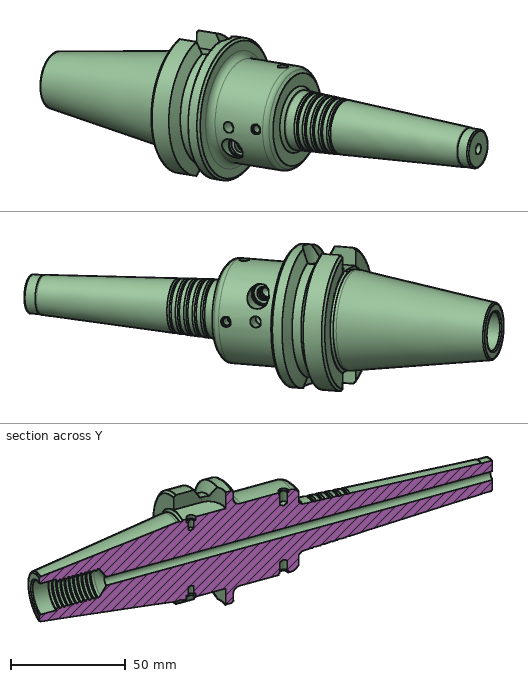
import cadquery as cq
import math

total_length = 215.5
taper_end = 65.3
neck_end = 67.5
flange_end = 92.5
body_end = 123.5
stem_start = 125.4
first_groove = 129.7
last_groove = 145.6
stem_end = 209.4
nose_start = 210.0

gauge_radius = 22.2
taper_slope = 7 / 48
taper_small_radius = gauge_radius - taper_end * taper_slope
taper_end_chamfer = 0.6

flange_radius = 31.5
flange_chamfer = 1.0
relief_start = 66.5
relief_end = 68.0
relief_end_height = 0.5
relief_height = 1.3
groove_floor_radius = 26.5
groove_floor_start = 80.0
groove_floor_end = 84.0
groove_wall_angle = 30.0
groove_flare = (flange_radius - groove_floor_radius) * math.tan(math.radians(groove_wall_angle))

body_radius = 46.0 / 2
body_root_fillet = 3.0
body_shoulder = 119.5
body_bevel_start = 122.1
body_bevel_radius = 22.0
body_end_radius = 20.5

nose_radius = 8.6
stem_end_radius = 8.8
nose_chamfer = 0.6
stem_half_angle = 3.0
stem_slope = math.tan(math.radians(stem_half_angle))
stem_root_bevel = 1.5
stem_groove_count = 5
stem_groove_pitch = (last_groove - first_groove) / (stem_groove_count - 1)
stem_groove_width = 2.0
stem_groove_depth = 0.32

mouth_radius = 18.3 / 2
pilot_radius = 17.0 / 2
pilot_depth = 8.0
thread_crest_radius = 14.0 / 2
thread_root_radius = 16.0 / 2
thread_pitch = 2.0
thread_turns = 11
coolant_radius = 4.5 / 2
drill_tip_angle = 118.0

slot_width = 16.2
slot_end = 88.5
slot_floor_height = 22.5

slot_hole_x = 72.2
slot_hole_diameter = 4.0
slot_hole_floor = 20.5
slot_hole_tip_diameter = 2.4
slot_hole_tip_floor = 16.2

balance_hole_x = 116.0
balance_hole_diameter = 4.5
balance_hole_floor = 22.0
balance_hole_tip_diameter = 3.5
balance_hole_tip_floor = 16.2

screw_hole_x = 102.3
small_hole_offset = 1.0
small_hole_diameter = 5.0
small_hole_floor = 16.2

large_hole_offset = 11.6
large_hole_steps = ((10.0, 14.6), (9.0, 13.0), (6.0, 10.8))
large_hole_tip_diameter = 4.5
large_hole_tip_floor = 8.6


def stem_radius(x):
    return stem_end_radius + (stem_end - x) * stem_slope


def revolved(profile):
    return profile.close().revolve(360, (0, 0, 0), (1, 0, 0))


def arc_point(center_x, center_r, radius, degrees):
    """Point on a profile arc, at an angle measured from +X toward +r."""
    angle = math.radians(degrees)
    return (center_x + radius * math.cos(angle), center_r + radius * math.sin(angle))


def outer_body():
    root_arc_x = flange_end + body_root_fillet
    bevel_arc_drop = body_radius - body_bevel_radius
    bevel_arc_run = body_bevel_start - body_shoulder
    bevel_arc_radius = (bevel_arc_run**2 + bevel_arc_drop**2) / (2 * bevel_arc_drop)
    bevel_arc_span = math.degrees(math.asin(bevel_arc_run / bevel_arc_radius))
    stem_root_radius = stem_radius(stem_start)
    profile = (
        cq.Workplane("XY")
        .moveTo(0, 0)
        .lineTo(0, taper_small_radius - taper_end_chamfer)
        .lineTo(taper_end_chamfer, taper_small_radius)
        .lineTo(taper_end, gauge_radius)
        .lineTo(relief_start, gauge_radius)
        .threePointArc(
            (relief_end, gauge_radius + relief_end_height),
            (neck_end, gauge_radius + relief_height),
        )
        .lineTo(neck_end, flange_radius - flange_chamfer)
        .lineTo(neck_end + flange_chamfer, flange_radius)
        .lineTo(groove_floor_start - groove_flare, flange_radius)
        .lineTo(groove_floor_start, groove_floor_radius)
        .lineTo(groove_floor_end, groove_floor_radius)
        .lineTo(groove_floor_end + groove_flare, flange_radius)
        .lineTo(flange_end - flange_chamfer, flange_radius)
        .lineTo(flange_end, flange_radius - flange_chamfer)
        .lineTo(flange_end, body_radius + body_root_fillet)
        .threePointArc(
            arc_point(root_arc_x, body_radius + body_root_fillet, body_root_fillet, -135),
            (root_arc_x, body_radius),
        )
        .lineTo(body_shoulder, body_radius)
        .threePointArc(
            arc_point(
                body_shoulder,
                body_radius - bevel_arc_radius,
                bevel_arc_radius,
                90 - bevel_arc_span / 2,
            ),
            (body_bevel_start, body_bevel_radius),
        )
        .lineTo(body_end, body_end_radius)
        .lineTo(body_end, stem_root_radius + stem_root_bevel)
        .lineTo(body_end + stem_root_bevel, stem_root_radius)
        .lineTo(stem_start, stem_root_radius)
    )
    for index in range(stem_groove_count):
        start = first_groove + index * stem_groove_pitch
        middle = start + stem_groove_width / 2
        end = start + stem_groove_width
        profile = (
            profile.lineTo(start, stem_radius(start))
            .lineTo(middle, stem_radius(middle) - stem_groove_depth)
            .lineTo(end, stem_radius(end))
        )
    profile = (
        profile.lineTo(stem_end, stem_end_radius)
        .lineTo(nose_start, nose_radius)
        .lineTo(total_length - nose_chamfer, nose_radius)
        .lineTo(total_length, nose_radius - nose_chamfer)
        .lineTo(total_length, 0)
    )
    return revolved(profile)


def central_bore():
    """Pilot bore, thread simplified to ring grooves, drill tip and coolant passage."""
    thread_end = pilot_depth + (thread_turns - 0.5) * thread_pitch
    tip_length = (thread_crest_radius - coolant_radius) / math.tan(math.radians(drill_tip_angle / 2))
    profile = (
        cq.Workplane("XY")
        .moveTo(0, 0)
        .lineTo(0, mouth_radius)
        .lineTo(mouth_radius - pilot_radius, pilot_radius)
        .lineTo(pilot_depth, pilot_radius)
    )
    for turn in range(thread_turns):
        turn_start = pilot_depth + turn * thread_pitch
        profile = profile.lineTo(turn_start, thread_root_radius)
        profile = profile.lineTo(turn_start + thread_pitch / 2, thread_crest_radius)
    profile = (
        profile.lineTo(thread_end + tip_length, coolant_radius)
        .lineTo(total_length, coolant_radius)
        .lineTo(total_length, 0)
    )
    return revolved(profile)


def drive_slot():
    return (
        cq.Workplane("XY", origin=(0, 0, slot_floor_height))
        .moveTo(taper_end, -slot_width / 2)
        .lineTo(slot_end - slot_width / 2, -slot_width / 2)
        .threePointArc((slot_end, 0), (slot_end - slot_width / 2, slot_width / 2))
        .lineTo(taper_end, slot_width / 2)
        .close()
        .extrude(flange_radius)
    )


def drilled_hole(diameter, floor_height):
    """Blind hole along Z with a conical tip below its floor, open upward."""
    radius = diameter / 2
    tip = radius / math.tan(math.radians(drill_tip_angle / 2))
    return (
        cq.Workplane("XZ")
        .moveTo(0, floor_height - tip)
        .lineTo(radius, floor_height)
        .lineTo(radius, flange_radius)
        .lineTo(0, flange_radius)
        .close()
        .revolve(360, (0, 0, 0), (0, 1, 0))
    )


def flat_hole(diameter, floor_height):
    """Flat-bottomed hole along Z, open upward."""
    return cq.Workplane("XY", origin=(0, 0, floor_height)).circle(diameter / 2).extrude(flange_radius)


def stepped_hole(steps, tip_diameter, tip_floor):
    """Flat steps given as (diameter, floor height), ending in a drilled hole."""
    hole = drilled_hole(tip_diameter, tip_floor)
    for diameter, floor_height in steps:
        hole = hole.union(flat_hole(diameter, floor_height))
    return hole


def cut_around(part, cutter, angles):
    for degrees in angles:
        part = part.cut(cutter.rotate((0, 0, 0), (1, 0, 0), degrees))
    return part


slot_hole = stepped_hole(
    ((slot_hole_diameter, slot_hole_floor),), slot_hole_tip_diameter, slot_hole_tip_floor
).translate((slot_hole_x, 0, 0))
balance_hole = stepped_hole(
    ((balance_hole_diameter, balance_hole_floor),), balance_hole_tip_diameter, balance_hole_tip_floor
).translate((balance_hole_x, 0, 0))
small_hole = drilled_hole(small_hole_diameter, small_hole_floor).translate(
    (screw_hole_x, -small_hole_offset, 0)
)
large_hole = stepped_hole(
    large_hole_steps, large_hole_tip_diameter, large_hole_tip_floor
).translate((screw_hole_x, -large_hole_offset, 0))

top_and_bottom = (0, 180)
front_and_back = (90, 270)

result = outer_body().cut(central_bore())
result = cut_around(result, drive_slot(), top_and_bottom)
result = cut_around(result, slot_hole, top_and_bottom)
result = cut_around(result, balance_hole, top_and_bottom + front_and_back)
result = cut_around(result, small_hole, front_and_back)
result = cut_around(result, large_hole, front_and_back)